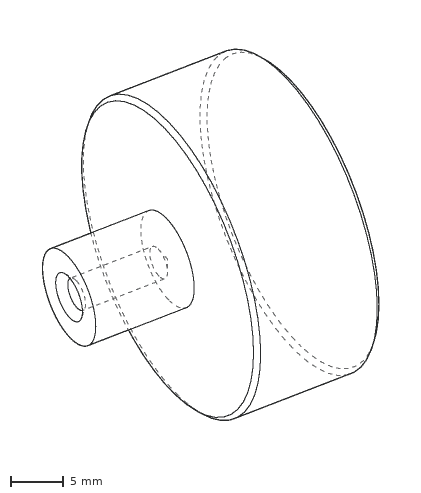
import cadquery as cq
import math

disc_diameter = 33.2
disc_thickness = 14.0
disc_chamfer = 0.5
stem_diameter = 10.0
stem_length = 11.0

hole_diameter = 3.32
hole_depth = 10.0
drill_point_angle = 118.0
countersink_diameter = 5.0
countersink_angle = 90.0


def cone_height(large_diameter, small_diameter, included_angle):
    """Axial height of a cone between two diameters."""
    half_angle = math.radians(included_angle / 2)
    return (large_diameter - small_diameter) / 2 / math.tan(half_angle)


disc_radius = disc_diameter / 2
stem_radius = stem_diameter / 2
hole_radius = hole_diameter / 2
stem_end = -stem_length
countersink_depth = cone_height(countersink_diameter, hole_diameter, countersink_angle)
drill_point_height = cone_height(hole_diameter, 0, drill_point_angle)
hole_bottom = stem_end + hole_depth

profile = (
    cq.Workplane("XY")
    .moveTo(0, hole_bottom + drill_point_height)
    .lineTo(hole_radius, hole_bottom)
    .lineTo(hole_radius, stem_end + countersink_depth)
    .lineTo(countersink_diameter / 2, stem_end)
    .lineTo(stem_radius, stem_end)
    .lineTo(stem_radius, 0)
    .lineTo(disc_radius - disc_chamfer, 0)
    .lineTo(disc_radius, disc_chamfer)
    .lineTo(disc_radius, disc_thickness - disc_chamfer)
    .lineTo(disc_radius - disc_chamfer, disc_thickness)
    .lineTo(0, disc_thickness)
    .close()
)

result = profile.revolve(360, (0, 0, 0), (0, 1, 0))